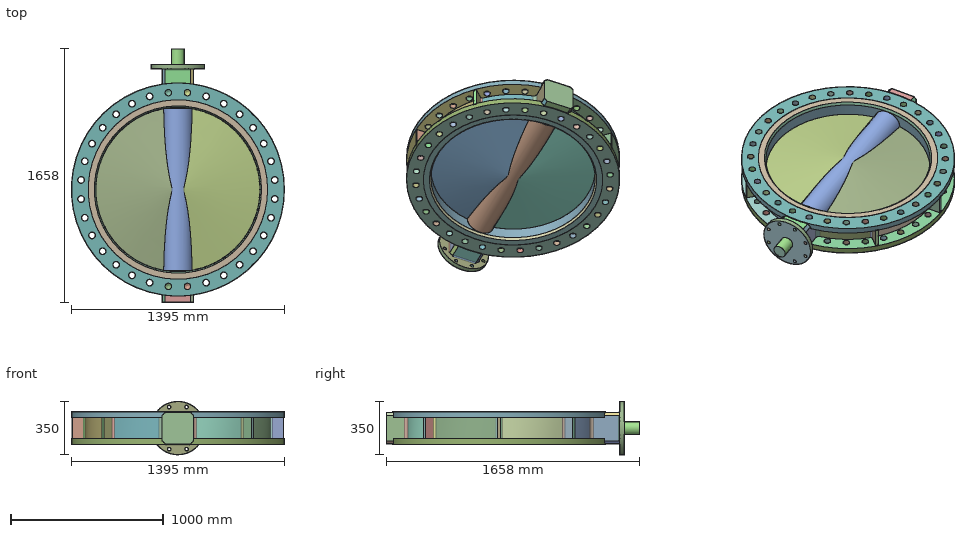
import cadquery as cq
import math


FLANGE_DIAMETER = 1395.0
HOUSING_HEIGHT = 215.0
FLANGE_THICKNESS = 40.0
WALL_RADIUS = 607.0
LINER_RADIUS = 587.0

BOLT_COUNT = 32
BOLT_CIRCLE_RADIUS = 637.0
BOLT_DIAMETER = 41.0
BLIND_DEPTH = 53.0
DRILL_POINT_ANGLE = 118

RIB_THICKNESS = 20.0
RIB_RADIUS = 691.0
RIB_FILLET = 12.0
RIB_ANGLES = (0, 45, 135, 180, 225, 315)

BOSS_WIDTH = 205.0
BOSS_CHAMFER = 20.0
BOSS_FILLET = 25.0
LOWER_BOSS_END = -738.0

PLATE_DIAMETER = 350.0
PLATE_THICKNESS = 30.0
PLATE_OUTER_FACE = 819.0
PLATE_FILLET = 7.0
PLATE_BOLT_COUNT = 8
PLATE_BOLT_CIRCLE_RADIUS = 150.0
PLATE_BOLT_DIAMETER = 22.0

BORE_RADIUS = 537.0
LINER_RECESS = 2.0
LINER_CHAMFER_WIDTH = 10.0
LINER_CHAMFER_HEIGHT = 17.0

DISC_RIM_THICKNESS = 17.0
DISC_CONE_HEIGHT = 91.0
HUB_DIAMETER = 187.0
HUB_LENGTH = 1061.0

SHAFT_DIAMETER = 85.0
SHAFT_TOP = 920.0
SHAFT_BOTTOM = -663.0

FLANGE_RADIUS = FLANGE_DIAMETER / 2
HALF_HEIGHT = HOUSING_HEIGHT / 2
WEB_HEIGHT = HOUSING_HEIGHT - 2 * FLANGE_THICKNESS
PLATE_INNER_FACE = PLATE_OUTER_FACE - PLATE_THICKNESS
LINER_HALF_HEIGHT = HALF_HEIGHT - LINER_RECESS
TOLERANCE = 0.2


def cylinder(radius, height):
    """Cylinder about Z, centred on the origin."""
    return cq.Workplane("XY").cylinder(height, radius)


def cylinder_along_y(radius, start, end):
    """Cylinder about Y between two Y positions."""
    return cq.Workplane("XZ", origin=(0, start, 0)).circle(radius).extrude(start - end)


def polar_point(radius, angle):
    """Point at an angle in degrees from the first axis."""
    return (radius * math.cos(math.radians(angle)), radius * math.sin(math.radians(angle)))


def is_wall_corner(edge):
    """True for an upright edge that lies on the outside of the housing wall."""
    centre = edge.Center()
    return math.isclose(math.hypot(centre.x, centre.y), WALL_RADIUS, abs_tol=TOLERANCE)


def is_boss_corner(edge):
    """True for an upright edge where a boss side meets the housing wall."""
    return is_wall_corner(edge) and math.isclose(abs(edge.Center().x), BOSS_WIDTH / 2, abs_tol=TOLERANCE)


def make_web():
    """Wall between the flanges, with the ribs and the boss roots blended into it."""
    web = cylinder(WALL_RADIUS, WEB_HEIGHT)
    for angle in RIB_ANGLES:
        rib = cq.Workplane("XY").box(RIB_RADIUS, RIB_THICKNESS, WEB_HEIGHT, centered=(False, True, True))
        web = web.union(rib.rotate((0, 0, 0), (0, 0, 1), angle))
    web = web.edges("|Z").filter(is_wall_corner).fillet(RIB_FILLET)
    boss_roots = cq.Workplane("XY").box(BOSS_WIDTH, 2 * FLANGE_RADIUS, WEB_HEIGHT)
    web = web.union(boss_roots)
    return web.edges("|Z").filter(is_boss_corner).fillet(BOSS_FILLET)


def square_bar(width, start, end):
    """Square bar along the Y axis between two Y positions."""
    return cq.Workplane("XZ", origin=(0, start, 0)).rect(width, width).extrude(start - end)


def make_bosses_with_plate():
    """Square bar along Y that forms both bosses, blended into the mounting plate on its +Y end.

    The corner chamfers of the bar run up to the plate and cut across the blend.
    """
    plate = cylinder_along_y(PLATE_DIAMETER / 2, PLATE_INNER_FACE, PLATE_OUTER_FACE)
    bar = square_bar(BOSS_WIDTH, LOWER_BOSS_END, PLATE_INNER_FACE).union(plate)
    joint = cq.selectors.BoxSelector(
        (-BOSS_WIDTH, PLATE_INNER_FACE - TOLERANCE, -BOSS_WIDTH),
        (BOSS_WIDTH, PLATE_INNER_FACE + TOLERANCE, BOSS_WIDTH),
    )
    bar = bar.edges(joint).edges("%LINE").fillet(PLATE_FILLET)
    width_across_chamfers = math.sqrt(2) * (BOSS_WIDTH - BOSS_CHAMFER)
    chamfer_envelope = square_bar(width_across_chamfers, LOWER_BOSS_END, PLATE_INNER_FACE)
    chamfer_envelope = chamfer_envelope.rotate((0, 0, 0), (0, 1, 0), 45)
    return bar.intersect(chamfer_envelope).union(plate)


def cut_plate_bolts(body):
    """Ring of through holes in the mounting plate, evenly straddling the X and Z axes."""
    step = 360 / PLATE_BOLT_COUNT
    for index in range(PLATE_BOLT_COUNT):
        x, z = polar_point(PLATE_BOLT_CIRCLE_RADIUS, (index + 0.5) * step)
        hole = cylinder_along_y(PLATE_BOLT_DIAMETER / 2, PLATE_INNER_FACE, PLATE_OUTER_FACE)
        body = body.cut(hole.translate((x, 0, z)))
    return body


def make_blind_hole():
    """Drilled hole with a conical bottom, entering the upper flange face at the origin of X and Y."""
    radius = BOLT_DIAMETER / 2
    point_height = radius / math.tan(math.radians(DRILL_POINT_ANGLE / 2))
    floor = HALF_HEIGHT - BLIND_DEPTH
    profile = [(0, HALF_HEIGHT), (radius, HALF_HEIGHT), (radius, floor), (0, floor - point_height)]
    return cq.Workplane("XZ").polyline(profile).close().revolve(360, (0, 0), (0, 1))


def cut_flange_bolts(body):
    """Bolt holes through both flanges; those over the bosses are blind, one from each face."""
    through_hole = cylinder(BOLT_DIAMETER / 2, HOUSING_HEIGHT)
    upper_blind_hole = make_blind_hole()
    lower_blind_hole = upper_blind_hole.mirror("XY")
    step = 360 / BOLT_COUNT
    for index in range(BOLT_COUNT):
        x, y = polar_point(BOLT_CIRCLE_RADIUS, (index + 0.5) * step)
        over_boss = abs(x) < BOSS_WIDTH / 2
        tools = [upper_blind_hole, lower_blind_hole] if over_boss else [through_hole]
        for tool in tools:
            body = body.cut(tool.translate((x, y, 0)))
    return body


def make_housing():
    """Flanged ring with ribs, two shaft bosses and an actuator mounting plate."""
    flange = cylinder(FLANGE_RADIUS, FLANGE_THICKNESS)
    flange_offset = (HOUSING_HEIGHT - FLANGE_THICKNESS) / 2
    body = make_web()
    for side in (-1, 1):
        body = body.union(flange.translate((0, 0, side * flange_offset)))
    body = body.union(make_bosses_with_plate())
    body = body.cut(cylinder(LINER_RADIUS, HOUSING_HEIGHT))
    body = cut_flange_bolts(body)
    body = cut_plate_bolts(body)
    return body.cut(make_shaft())


def make_liner():
    """Ring set into the housing, with its bore opened out at both faces."""
    mouth_radius = BORE_RADIUS + LINER_CHAMFER_WIDTH
    shoulder = LINER_HALF_HEIGHT - LINER_CHAMFER_HEIGHT
    profile = [
        (LINER_RADIUS, -LINER_HALF_HEIGHT),
        (LINER_RADIUS, LINER_HALF_HEIGHT),
        (mouth_radius, LINER_HALF_HEIGHT),
        (BORE_RADIUS, shoulder),
        (BORE_RADIUS, -shoulder),
        (mouth_radius, -LINER_HALF_HEIGHT),
    ]
    liner = cq.Workplane("XZ").polyline(profile).close().revolve(360, (0, 0), (0, 1))
    return liner.cut(make_shaft())


def make_disc():
    """Double-cone disc with a cylindrical hub across it, bored for the shaft."""
    half_rim = DISC_RIM_THICKNESS / 2
    profile = [
        (0, -DISC_CONE_HEIGHT),
        (BORE_RADIUS, -half_rim),
        (BORE_RADIUS, half_rim),
        (0, DISC_CONE_HEIGHT),
    ]
    cones = cq.Workplane("XZ").polyline(profile).close().revolve(360, (0, 0), (0, 1))
    hub = cylinder_along_y(HUB_DIAMETER / 2, -HUB_LENGTH / 2, HUB_LENGTH / 2)
    hub = hub.intersect(cylinder(BORE_RADIUS, HOUSING_HEIGHT))
    return cones.union(hub).cut(make_shaft())


def make_shaft():
    """Straight shaft through the plate, the upper boss and the disc into the lower boss."""
    return cylinder_along_y(SHAFT_DIAMETER / 2, SHAFT_BOTTOM, SHAFT_TOP)


housing = make_housing()
liner = make_liner()
disc = make_disc()
shaft = make_shaft()

result = cq.Compound.makeCompound([housing.val(), liner.val(), disc.val(), shaft.val()])